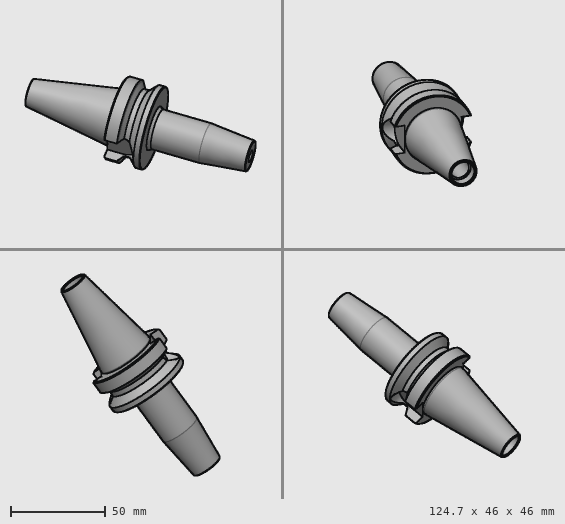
import cadquery as cq

total_length = 124.7
taper_length = 48.5
taper_small_radius = 7.7
taper_large_radius = 15.8
end_chamfer = 0.4

flange_start = 49.4
flange_end = 70.2
flange_radius = 23.01
front_chamfer = 0.6
back_chamfer = 0.4
rim_end = 56.7
rim_chamfer_length = 0.4
rim_chamfer_depth = 0.7
groove_floor_start = 59.4
groove_floor_end = 62.5
groove_radius = 18.8
groove_depth = flange_radius - groove_radius
groove_end = groove_floor_end + groove_depth

nose_radius = 11.1
nose_root_radius = 12.2
nose_root_end = 72.2
nose_taper_start = 99.3
nose_tip_radius = 8.6

slot_width = 16.1
slot_end = 66.3
slot_floor = 16.0

mouth_radius = 6.9
mouth_chamfer = 0.5
pilot_radius = mouth_radius - mouth_chamfer
pilot_depth = 6.0
thread_radius = 5.2
thread_depth = 24.0
through_radius = 3.2


def revolve_about_x(points):
    """Revolve a closed (x, radius) outline about the X axis."""
    return cq.Workplane("XY").polyline(points).close().revolve(360, (0, 0, 0), (1, 0, 0))


def make_body():
    return revolve_about_x([
        (0, 0),
        (0, taper_small_radius - end_chamfer),
        (end_chamfer, taper_small_radius),
        (taper_length, taper_large_radius),
        (flange_start, taper_large_radius),
        (flange_start, flange_radius - front_chamfer),
        (flange_start + front_chamfer, flange_radius),
        (rim_end, flange_radius),
        (rim_end + rim_chamfer_length, flange_radius - rim_chamfer_depth),
        (groove_floor_start, groove_radius),
        (groove_floor_end, groove_radius),
        (groove_end, flange_radius),
        (flange_end - back_chamfer, flange_radius),
        (flange_end, flange_radius - back_chamfer),
        (flange_end, nose_root_radius),
        (nose_root_end, nose_radius),
        (nose_taper_start, nose_radius),
        (total_length - end_chamfer, nose_tip_radius),
        (total_length, nose_tip_radius - end_chamfer),
        (total_length, 0),
    ])


def make_bore():
    return revolve_about_x([
        (0, 0),
        (0, mouth_radius),
        (mouth_chamfer, pilot_radius),
        (pilot_depth, pilot_radius),
        (pilot_depth, thread_radius),
        (thread_depth, thread_radius),
        (thread_depth, through_radius),
        (total_length, through_radius),
        (total_length, 0),
    ])


def make_slot(side):
    """Round-ended slot open toward the taper, on the +Y (1) or -Y (-1) side."""
    half_width = slot_width / 2
    arc_center = slot_end - half_width
    return (
        cq.Workplane("XZ", origin=(0, side * slot_floor, 0))
        .moveTo(taper_length, -half_width)
        .lineTo(arc_center, -half_width)
        .threePointArc((slot_end, 0), (arc_center, half_width))
        .lineTo(taper_length, half_width)
        .close()
        .extrude(-side * flange_radius)
    )


result = make_body().cut(make_bore())
for slot_side in (1, -1):
    result = result.cut(make_slot(slot_side))